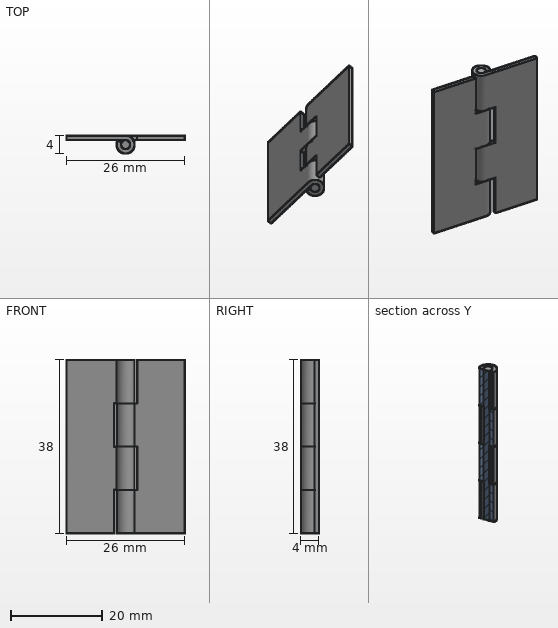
import cadquery as cq
import math

hinge_height = 38.0
hinge_width = 26.0
knuckle_diameter = 4.0
knuckle_count = 4
notch_reach = 2.5
curl_end_angle = 151.0

knuckle_radius = knuckle_diameter / 2
sheet_thickness = knuckle_radius / 2
pin_radius = knuckle_radius - sheet_thickness
knuckle_height = hinge_height / knuckle_count
leaf_reach = hinge_width / 2


def polar_point(radius, angle):
    """Point at a radius and an angle in degrees about the pin axis."""
    return (radius * math.cos(math.radians(angle)), radius * math.sin(math.radians(angle)))


def make_knuckle(bottom):
    """Strip of sheet from the notch edge, rolled clockwise around the pin to a radial end."""
    opposite_angle = -90.0
    return (
        cq.Workplane("XY", origin=(0, 0, bottom))
        .moveTo(-notch_reach, knuckle_radius)
        .lineTo(0, knuckle_radius)
        .threePointArc(
            polar_point(knuckle_radius, opposite_angle),
            polar_point(knuckle_radius, curl_end_angle),
        )
        .lineTo(*polar_point(pin_radius, curl_end_angle))
        .threePointArc(polar_point(pin_radius, opposite_angle), (0, pin_radius))
        .lineTo(-notch_reach, pin_radius)
        .close()
        .extrude(knuckle_height)
    )


def make_leaf(first_knuckle):
    """Flat leaf on the -X side with every second knuckle, counted from the bottom."""
    leaf = cq.Workplane("XY").box(
        leaf_reach - notch_reach, sheet_thickness, hinge_height, centered=False
    ).translate((-leaf_reach, pin_radius, 0))
    for index in range(first_knuckle, knuckle_count, 2):
        leaf = leaf.union(make_knuckle(index * knuckle_height))
    return leaf.clean()


left_leaf = make_leaf(first_knuckle=1)
right_leaf = make_leaf(first_knuckle=0).mirror("YZ")
pin = cq.Workplane("XY").circle(pin_radius).extrude(hinge_height)

result = cq.Compound.makeCompound([left_leaf.solids().val(), right_leaf.solids().val(), pin.val()])